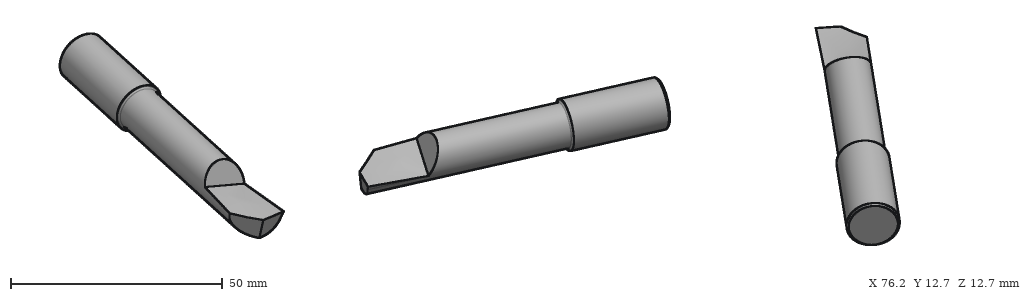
import cadquery as cq
import math

overall_length = 76.2
shank_diameter = 12.7
shank_length = 24.4
shank_chamfer = 0.5
neck_diameter = 11.2
neck_fillet = 0.4

shank_radius = shank_diameter / 2
neck_radius = neck_diameter / 2

tip_half_width = 6.1
tip_corner_y = 0.2
end_relief_angle = 7.0
flank_relief_angle = 25.0
flank_crest = 1.0
cutter_size = 10.0
blank_end_x = overall_length + 5.0

floor_rear_x = 60.25
floor_rear_skew = 0.085
floor_rear_slope = -0.295
floor_rear_height = 0.15
floor_tip_heights = (0.55, 0.0, 0.0)
shoulder_lean = 0.556
floor_half_width = 7.0
floor_overrun = 8.0
cut_height = 9.0


def make_bar():
    """Shank and neck turned about X, with the chamfer and the neck fillet."""
    return (
        cq.Workplane("XZ")
        .moveTo(0, 0)
        .lineTo(0, shank_radius - shank_chamfer)
        .lineTo(shank_chamfer, shank_radius)
        .lineTo(shank_length, shank_radius)
        .lineTo(shank_length, neck_radius + neck_fillet)
        .radiusArc((shank_length + neck_fillet, neck_radius), -neck_fillet)
        .lineTo(blank_end_x, neck_radius)
        .lineTo(blank_end_x, 0)
        .close()
        .revolve(360, (0, 0, 0), (1, 0, 0))
    )


def rear_point(y):
    """Point of the floor's straight rear line."""
    x = floor_rear_x + floor_rear_skew * y
    return cq.Vector(x, y, floor_rear_height + floor_rear_slope * y)


def overrun_point(y, tip_height):
    """Point past the tip, in line with the rear point and the cutting edge."""
    rear = rear_point(y)
    tip = cq.Vector(overall_length, y, tip_height)
    stretch = (overall_length + floor_overrun - rear.x) / (overall_length - rear.x)
    return rear + (tip - rear) * stretch


def make_flank():
    """Wedge on the +Y side that carries the cutting corner out past the neck."""
    angle = math.radians(flank_relief_angle)
    crest_y = tip_half_width + flank_crest * math.tan(angle)
    axis_distance = tip_half_width * math.cos(angle)
    foot = (axis_distance * math.cos(angle), -axis_distance * math.sin(angle))
    start_x = rear_point(neck_radius).x
    return (
        cq.Workplane("YZ", origin=(start_x, 0, 0))
        .polyline([(0, 0), foot, (crest_y, flank_crest)])
        .close()
        .extrude(blank_end_x - start_x)
    )


def make_chip_cut():
    """Twisted floor swept up and back, which also forms the leaning shoulder."""
    sides = (-floor_half_width, 0, floor_half_width)
    rear_line = cq.Edge.makeLine(rear_point(sides[0]), rear_point(sides[-1]))
    front_points = [overrun_point(y, z) for y, z in zip(sides, floor_tip_heights)]
    front_arc = cq.Edge.makeThreePointArc(*front_points)
    floor = cq.Face.makeRuledSurface(front_arc, rear_line)
    sweep = cq.Vector(-shoulder_lean * cut_height, 0, cut_height)
    return cq.Workplane(cq.Solid.extrudeLinear(floor, sweep))


def make_end_cut():
    """Waste beyond the end face, which leans back below the cutting edge."""
    lean = cutter_size * math.tan(math.radians(end_relief_angle))
    far_x = overall_length + 2 * cutter_size
    return (
        cq.Workplane("XZ")
        .polyline([
            (overall_length - lean, -cutter_size),
            (overall_length + lean, cutter_size),
            (far_x, cutter_size),
            (far_x, -cutter_size),
        ])
        .close()
        .extrude(cutter_size, both=True)
    )


def make_clearance_cut():
    """Waste outside the 45 degree face on the -Y side of the tip."""
    return (
        cq.Workplane("XY")
        .polyline([
            (overall_length - cutter_size, tip_corner_y - cutter_size),
            (overall_length + cutter_size, tip_corner_y + cutter_size),
            (overall_length + cutter_size, tip_corner_y - cutter_size),
        ])
        .close()
        .extrude(cutter_size, both=True)
    )


result = (
    make_bar()
    .union(make_flank())
    .cut(make_end_cut())
    .cut(make_clearance_cut())
    .cut(make_chip_cut())
)